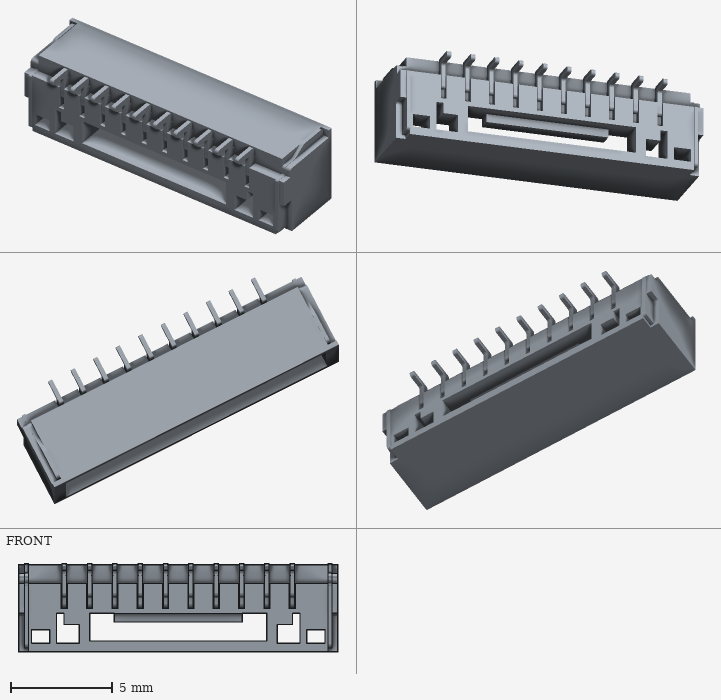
import cadquery as cq

LENGTH = 15.75
HOUSING_DEPTH = 4.05
HOUSING_HEIGHT = 4.3
WALL_TOP_DEPTH = 3.51
WALL_FOOT_DEPTH = 3.55
SHELF_Z = 3.37

PLATE_THICKNESS = 0.3
TAB_THICKNESS = 0.19
END_WIDTH = PLATE_THICKNESS + TAB_THICKNESS
BACK_POST_DEPTH = 0.24
PLATE_TOP = 3.86
PLATE_NOTCH_DEPTH = 3.37
PLATE_NOTCH_Z = 1.92
PLATE_TOP_RADIUS = 0.17
PLATE_NOTCH_RADIUS = 0.14

TAB_BACK = 0.33
TAB_FRONT = 4.13
TAB_TOP = 4.35
TAB_REAR_Z = PLATE_TOP + 0.02
TAB_SHOULDER_DEPTH = 3.53
TAB_SHOULDER_Z = 3.39
TAB_BOTTOM = 0.19
TAB_SLOPE_START = 1.9
TAB_SLOPE_END = 2.71
TAB_TOP_RADIUS = 0.17
TAB_FRONT_RADIUS = 0.1
TAB_SLOPE_RADIUS = 0.4
TAB_BOTTOM_RADIUS = 0.15

FLOOR = 0.43
CAVITY_HALF_WIDTH = 7.23
CAVITY_TOP = HOUSING_HEIGHT - FLOOR
WALL_THICKNESS = 1.42
CAVITY_DEPTH = HOUSING_DEPTH - WALL_THICKNESS
WINDOW_TOP = 1.89
MAIN_WINDOW_HALF_WIDTH = 4.36
MAIN_WINDOW_SILL = 0.54
RIB_HALF_WIDTH = 3.17
RIB_BOTTOM = 1.46
RIB_FRONT = HOUSING_DEPTH - WALL_THICKNESS / 2
LATCH_OUTER = 6.0
LATCH_STEP = 5.64
LATCH_INNER = 4.88
LATCH_STEP_Z = 1.34
CORNER_WINDOW_INNER = 6.35
CORNER_WINDOW_TOP = 1.09

PIN_COUNT = 10
PIN_ROW = 11.25
PIN_PITCH = PIN_ROW / (PIN_COUNT - 1)
PIN_WIDTH = 0.22
PIN_SLOT_WIDTH = 0.3
PIN_BACK = 3.6
PIN_HEEL_Z = 3.76
PIN_BACK_RADIUS = 0.1
PIN_LEG_FRONT = 3.98
PIN_TIP = 4.9
PIN_TOP = TAB_TOP
PIN_FOOT_BOTTOM = 4.02
PIN_BOTTOM = 2.13
PIN_JOG_Z = 2.7
PIN_JOG = 0.17
PIN_TIP_RADIUS = 0.14
PIN_BEND_RADIUS = 0.14
PIN_JOG_RADIUS = 0.15
PIN_END_RADIUS = 0.19


def side_profile(points, x_start, width):
    """Extrude an outline of (depth, z) points along X."""
    outline = [(-depth, z) for depth, z in points]
    return cq.Workplane("YZ", origin=(x_start, 0, 0)).polyline(outline).close().extrude(width)


def front_prism(points, depth_start, depth_end):
    """Extrude an outline of (x, z) points between two depths."""
    plane = cq.Workplane("XZ", origin=(0, -depth_start, 0))
    return plane.polyline(points).close().extrude(depth_end - depth_start)


def rectangle(x_start, x_end, z_start, z_end):
    return [(x_start, z_start), (x_end, z_start), (x_end, z_end), (x_start, z_end)]


def round_corner(body, x_middle, corner, radius):
    """Fillet the edge along X that passes through a (depth, z) corner."""
    depth, z = corner
    edge = cq.selectors.NearestToPointSelector((x_middle, -depth, z))
    return body.edges("|X").edges(edge).fillet(radius)


def both_ends(body):
    return body.union(body.mirror("YZ"))


def make_core():
    half_width = LENGTH / 2 - END_WIDTH
    outline = [
        (0, 0),
        (HOUSING_DEPTH, 0),
        (HOUSING_DEPTH, SHELF_Z),
        (WALL_FOOT_DEPTH, SHELF_Z),
        (WALL_TOP_DEPTH, HOUSING_HEIGHT),
        (0, HOUSING_HEIGHT),
    ]
    return side_profile(outline, -half_width, 2 * half_width)


def make_end_block():
    """End plate at -X, with the strip of housing behind the tab."""
    top_corner = (WALL_TOP_DEPTH, PLATE_TOP)
    notch_corner = (PLATE_NOTCH_DEPTH, PLATE_NOTCH_Z)
    outline = [
        (0, 0),
        (PLATE_NOTCH_DEPTH, 0),
        notch_corner,
        (HOUSING_DEPTH, PLATE_NOTCH_Z),
        (HOUSING_DEPTH, SHELF_Z),
        (WALL_TOP_DEPTH, SHELF_Z),
        top_corner,
        (BACK_POST_DEPTH, PLATE_TOP),
        (BACK_POST_DEPTH, HOUSING_HEIGHT),
        (0, HOUSING_HEIGHT),
    ]
    x_start = -LENGTH / 2
    x_middle = x_start + END_WIDTH / 2
    block = side_profile(outline, x_start, END_WIDTH)
    block = round_corner(block, x_middle, top_corner, PLATE_TOP_RADIUS)
    return round_corner(block, x_middle, notch_corner, PLATE_NOTCH_RADIUS)


def make_tab():
    """Metal hold-down tab at -X, between the end plate and the core."""
    back_top = (TAB_BACK, TAB_TOP)
    slope_start = (TAB_SLOPE_START, TAB_TOP)
    slope_end = (TAB_SLOPE_END, TAB_REAR_Z)
    shoulder_top = (TAB_SHOULDER_DEPTH, TAB_REAR_Z)
    shoulder_foot = (TAB_SHOULDER_DEPTH, TAB_SHOULDER_Z)
    front_top = (TAB_FRONT, TAB_SHOULDER_Z)
    front_bottom = (TAB_FRONT, TAB_BOTTOM)
    outline = [
        (TAB_BACK, TAB_BOTTOM),
        front_bottom,
        front_top,
        shoulder_foot,
        shoulder_top,
        slope_end,
        slope_start,
        back_top,
    ]
    x_start = -LENGTH / 2 + PLATE_THICKNESS
    x_middle = x_start + TAB_THICKNESS / 2
    tab = side_profile(outline, x_start, TAB_THICKNESS)
    for corner in (back_top, shoulder_top):
        tab = round_corner(tab, x_middle, corner, TAB_TOP_RADIUS)
    for corner in (shoulder_foot, front_top):
        tab = round_corner(tab, x_middle, corner, TAB_FRONT_RADIUS)
    for corner in (slope_start, slope_end):
        tab = round_corner(tab, x_middle, corner, TAB_SLOPE_RADIUS)
    return round_corner(tab, x_middle, front_bottom, TAB_BOTTOM_RADIUS)


def make_openings():
    """Plug cavity, main window with its hanging rib, and the end windows."""
    cavity = front_prism(
        rectangle(-CAVITY_HALF_WIDTH, CAVITY_HALF_WIDTH, FLOOR, CAVITY_TOP), 0, CAVITY_DEPTH
    )
    main_window = front_prism(
        rectangle(-MAIN_WINDOW_HALF_WIDTH, MAIN_WINDOW_HALF_WIDTH, MAIN_WINDOW_SILL, WINDOW_TOP),
        CAVITY_DEPTH,
        HOUSING_DEPTH,
    )
    rib = front_prism(
        rectangle(-RIB_HALF_WIDTH, RIB_HALF_WIDTH, RIB_BOTTOM, WINDOW_TOP), CAVITY_DEPTH, RIB_FRONT
    )
    latch_outline = [
        (-LATCH_OUTER, FLOOR),
        (-LATCH_INNER, FLOOR),
        (-LATCH_INNER, LATCH_STEP_Z),
        (-LATCH_STEP, LATCH_STEP_Z),
        (-LATCH_STEP, WINDOW_TOP),
        (-LATCH_OUTER, WINDOW_TOP),
    ]
    latch_window = front_prism(latch_outline, CAVITY_DEPTH, HOUSING_DEPTH)
    corner_window = front_prism(
        rectangle(-CAVITY_HALF_WIDTH, -CORNER_WINDOW_INNER, FLOOR, CORNER_WINDOW_TOP),
        CAVITY_DEPTH,
        HOUSING_DEPTH,
    )
    windows = main_window.cut(rib).union(both_ends(latch_window)).union(both_ends(corner_window))
    return cavity.union(windows)


def make_pin_slot(x):
    half_width = PIN_SLOT_WIDTH / 2
    outline = rectangle(x - half_width, x + half_width, PIN_BOTTOM, SHELF_Z)
    return front_prism(outline, WALL_FOOT_DEPTH, HOUSING_DEPTH)


def make_pin(x):
    """Terminal with a solder foot, a leg and a set-back lower leg."""
    lower_front = PIN_LEG_FRONT - PIN_JOG
    back_top = (PIN_BACK, PIN_TOP)
    tip_top = (PIN_TIP, PIN_TOP)
    tip_bottom = (PIN_TIP, PIN_FOOT_BOTTOM)
    foot_bend = (PIN_LEG_FRONT, PIN_FOOT_BOTTOM)
    jog_corner = (PIN_LEG_FRONT, PIN_JOG_Z)
    end_corner = (lower_front, PIN_BOTTOM)
    outline = [
        (WALL_TOP_DEPTH, PIN_BOTTOM),
        end_corner,
        (lower_front, PIN_JOG_Z),
        jog_corner,
        foot_bend,
        tip_bottom,
        tip_top,
        back_top,
        (PIN_BACK, PIN_HEEL_Z),
        (WALL_TOP_DEPTH, PIN_HEEL_Z),
    ]
    pin = side_profile(outline, x - PIN_WIDTH / 2, PIN_WIDTH)
    for corner in (tip_top, tip_bottom):
        pin = round_corner(pin, x, corner, PIN_TIP_RADIUS)
    pin = round_corner(pin, x, back_top, PIN_BACK_RADIUS)
    pin = round_corner(pin, x, foot_bend, PIN_BEND_RADIUS)
    pin = round_corner(pin, x, jog_corner, PIN_JOG_RADIUS)
    return round_corner(pin, x, end_corner, PIN_END_RADIUS)


result = make_core().union(both_ends(make_end_block().union(make_tab()))).cut(make_openings())
for index in range(PIN_COUNT):
    pin_x = index * PIN_PITCH - PIN_ROW / 2
    result = result.cut(make_pin_slot(pin_x)).union(make_pin(pin_x))